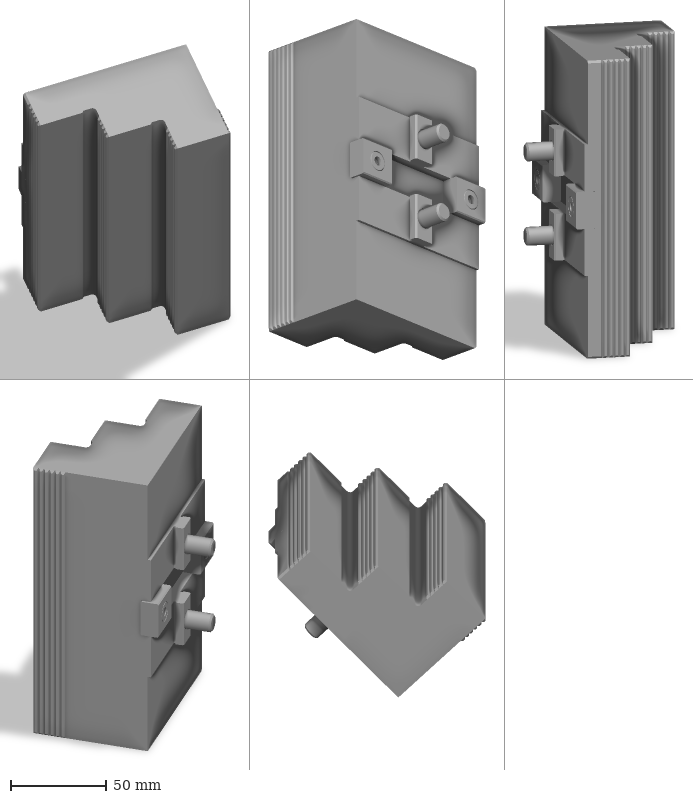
import cadquery as cq

height = 160.0
body_depth = 63.2
step_width = 20.0
step_rise = 30.9
step_count = 3
body_half_width = 45.3
relief_depth = 1.1
relief_length = 6.4
relief_radius = 2.2

ridge_height = 1.2
ridge_tip = 1.1
ridge_base = 2.5
ridge_inset = 1.5
ridges_per_step = 5
ridge_span = 12.0
ridge_pitch = ridge_span / (ridges_per_step - 1)
ridges_on_far_side = 6
strip_tip_end = 7.4
strip_base_end = 7.8

slab_thickness = 1.8
slab_half_height = 35.2
channel_half_height = 10.0
channel_floor = 3.7
mount_y = 1.1
bar_width = 12.6
bar_face = -7.5
bar_chamfer = 0.8
neck_depth = 1.0
neck_length = 1.3
pin_diameter = 10.0
pin_end = -21.8
pin_chamfer = 1.0
clearance_diameter = 11.0
pin_recess_depth = 0.8

block_length = 21.6
block_face = -6.4
block_chamfer = 0.6
screw_head_diameter = 10.0
screw_bevel_depth = 0.8
socket_diameter = 5.0
socket_depth = 2.4
socket_tip_depth = 1.6

step_edges = [body_depth - step_width * (step_count - 1 - i) for i in range(step_count)]
step_faces = [-body_half_width + step_rise * i for i in range(step_count)]
outer_y = body_half_width + ridge_height


def box(x_min, x_max, y_min, y_max, z_min, z_max):
    size = (x_max - x_min, y_max - y_min, z_max - z_min)
    return cq.Workplane("XY").box(*size, centered=False).translate((x_min, y_min, z_min))


def rod(diameter, x_min, x_max, y, z):
    circle = cq.Workplane("YZ", origin=(x_min, y, z)).circle(diameter / 2)
    return circle.extrude(x_max - x_min)


def prism(points):
    outline = cq.Workplane("XY", origin=(0, 0, -height / 2)).polyline(points).close()
    return outline.extrude(height)


def make_body():
    outline = cq.Workplane("XY", origin=(0, 0, -height / 2))
    outline = outline.moveTo(0, body_half_width).lineTo(0, step_faces[0])
    for edge, face, next_face in zip(step_edges, step_faces, step_faces[1:]):
        floor = edge - relief_depth
        relief_start = next_face - relief_length
        outline = (
            outline.lineTo(edge, face)
            .lineTo(edge, relief_start - relief_depth)
            .lineTo(floor, relief_start)
            .lineTo(floor, next_face - relief_radius)
            .radiusArc((floor + relief_radius, next_face), relief_radius)
        )
    outline = outline.lineTo(body_depth, step_faces[-1]).lineTo(body_depth, body_half_width)
    return outline.close().extrude(height)


def bevel_ends(raised, face_y, tip_y):
    """Slope the top and bottom ends of raised material down to its base face."""
    half = height / 2
    tip_half = half - ridge_height
    envelope = (
        cq.Workplane("YZ")
        .polyline([(face_y, -half), (face_y, half), (tip_y, tip_half), (tip_y, -tip_half)])
        .close()
        .extrude(body_depth)
    )
    return raised.intersect(envelope)


def make_ridges(edge, face_y, outward, count):
    """Ridges spaced inward from a step edge; outward is the sign of the face normal."""
    tip_y = face_y + outward * ridge_height
    ridges = cq.Workplane("XY")
    for i in range(count):
        x = edge - ridge_inset - i * ridge_pitch
        ridges = ridges.add(prism([
            (x - ridge_base / 2, face_y),
            (x + ridge_base / 2, face_y),
            (x + ridge_tip / 2, tip_y),
            (x - ridge_tip / 2, tip_y),
        ]))
    return bevel_ends(ridges.combine(), face_y, tip_y)


def make_front_strip():
    face_y = step_faces[0]
    strip = prism([(0, face_y), (strip_base_end, face_y), (strip_tip_end, -outer_y), (0, -outer_y)])
    return bevel_ends(strip, face_y, -outer_y)


def make_bar(z_min, z_max):
    half = bar_width / 2
    side = [
        (0, half - neck_depth),
        (-slab_thickness - neck_length, half - neck_depth),
        (-slab_thickness - neck_length, half),
        (bar_face + bar_chamfer, half),
        (bar_face, half - bar_chamfer),
    ]
    points = side + [(x, -y) for x, y in reversed(side)]
    outline = cq.Workplane("XY", origin=(0, mount_y, z_min)).polyline(points).close()
    bar = outline.extrude(z_max - z_min)
    z_middle = (z_min + z_max) / 2
    recess = rod(clearance_diameter, bar_face, bar_face + pin_recess_depth, mount_y, z_middle)
    pin = rod(pin_diameter, pin_end, 0, mount_y, z_middle).faces("<X").chamfer(pin_chamfer)
    return bar.cut(recess).union(pin)


def make_block(side):
    y_min, y_max = sorted((side * (outer_y - block_length), side * outer_y))
    block = box(block_face, channel_floor, y_min, y_max, -channel_half_height, channel_half_height)
    block = block.edges("|Y").chamfer(block_chamfer)

    screw_y = (y_min + y_max) / 2
    bevel_end = block_face + screw_bevel_depth
    screw_rim = cq.Solid.makeCone(
        screw_head_diameter / 2, clearance_diameter / 2, screw_bevel_depth,
        cq.Vector(block_face, screw_y, 0), cq.Vector(1, 0, 0),
    )
    gap = rod(clearance_diameter, block_face, bevel_end, screw_y, 0).cut(cq.Workplane(screw_rim))

    socket_end = block_face + socket_depth
    socket = rod(socket_diameter, block_face, socket_end, screw_y, 0)
    tip = cq.Solid.makeCone(
        socket_diameter / 2, 0, socket_tip_depth,
        cq.Vector(socket_end, screw_y, 0), cq.Vector(1, 0, 0),
    )
    return block.cut(gap).cut(socket.union(cq.Workplane(tip)))


result = make_body().union(make_front_strip())
for edge, face_y in zip(step_edges, step_faces):
    result = result.union(make_ridges(edge, face_y, -1, ridges_per_step))
result = result.union(make_ridges(body_depth, body_half_width, 1, ridges_on_far_side))

slab = box(-slab_thickness, 0, -outer_y, body_half_width, -slab_half_height, slab_half_height)
channel = box(
    -slab_thickness, channel_floor, -outer_y, body_half_width, -channel_half_height, channel_half_height
)
result = result.union(slab).cut(channel)

for z_min, z_max in (
    (channel_half_height, slab_half_height),
    (-slab_half_height, -channel_half_height),
):
    result = result.union(make_bar(z_min, z_max))
for side in (-1, 1):
    result = result.union(make_block(side))